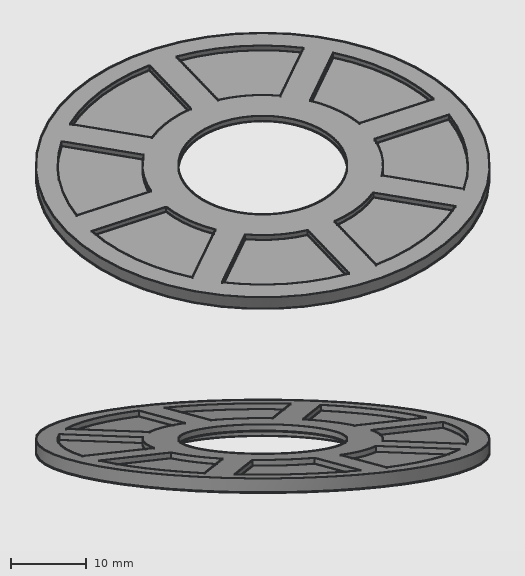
import cadquery as cq
import math

outer_radius = 30.0
bore_radius = 11.15
thickness = 2.0
edge_chamfer = 0.1

bore_lip_thickness = 0.95
recess_radius = 13.5

window_count = 8
window_outer_radius = 27.1
window_inner_radius = 15.9
spoke_width = 4.1
window_depth = 0.8


def chamfer_cone(z, lower_radius, upper_radius):
    """Truncated cone, one chamfer tall, starting at height z."""
    return (
        cq.Workplane("XY", origin=(0, 0, z))
        .circle(lower_radius)
        .workplane(offset=edge_chamfer)
        .circle(upper_radius)
        .loft()
    )


def point_at(radius, angle):
    return radius * math.cos(angle), radius * math.sin(angle)


def point_beside_spoke(radius, spoke_angle, side):
    """Point at a radius on the edge of a spoke; side is +1 or -1 across the spoke."""
    angle = spoke_angle + side * math.asin(spoke_width / 2 / radius)
    return point_at(radius, angle)


def window_cutter(index):
    """Ring sector between two neighbouring spokes, with sides parallel to them."""
    pitch = 2 * math.pi / window_count
    first_spoke = index * pitch
    next_spoke = first_spoke + pitch
    middle = first_spoke + pitch / 2
    return (
        cq.Workplane("XY", origin=(0, 0, thickness - window_depth))
        .moveTo(*point_beside_spoke(window_inner_radius, first_spoke, 1))
        .lineTo(*point_beside_spoke(window_outer_radius, first_spoke, 1))
        .threePointArc(
            point_at(window_outer_radius, middle),
            point_beside_spoke(window_outer_radius, next_spoke, -1),
        )
        .lineTo(*point_beside_spoke(window_inner_radius, next_spoke, -1))
        .threePointArc(
            point_at(window_inner_radius, middle),
            point_beside_spoke(window_inner_radius, first_spoke, 1),
        )
        .close()
        .extrude(window_depth)
    )


chamfered_base = chamfer_cone(0, outer_radius - edge_chamfer, outer_radius)
straight_rim = (
    cq.Workplane("XY", origin=(0, 0, edge_chamfer))
    .circle(outer_radius)
    .extrude(thickness - edge_chamfer)
)
result = chamfered_base.union(straight_rim)

recess_depth = thickness - bore_lip_thickness
recess = cq.Workplane("XY").circle(recess_radius).extrude(recess_depth)
bore = cq.Workplane("XY").circle(bore_radius).extrude(thickness)
bore_chamfer = chamfer_cone(recess_depth, bore_radius + edge_chamfer, bore_radius)
result = result.cut(recess).cut(bore).cut(bore_chamfer)

for window_index in range(window_count):
    result = result.cut(window_cutter(window_index))